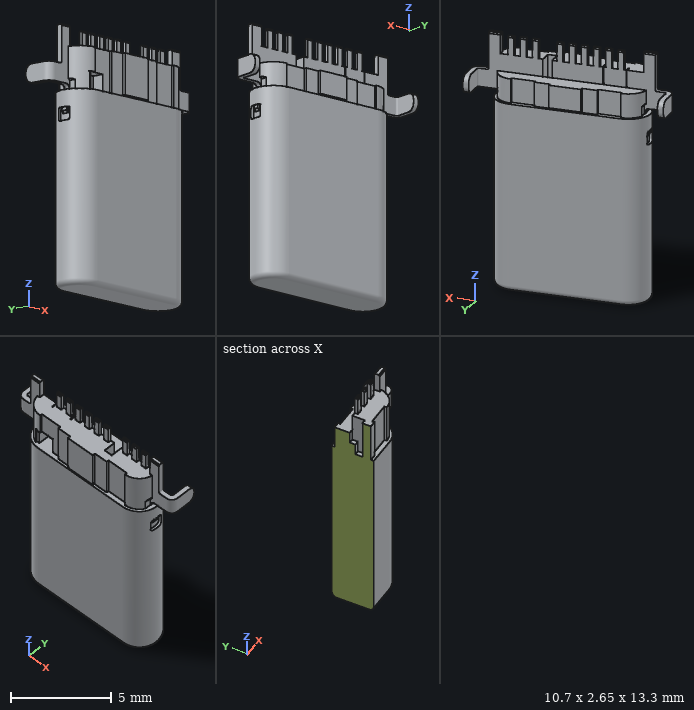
import cadquery as cq

shell_width = 8.29
shell_thickness = 2.41
shell_height = 10.0
mouth_fillet = 0.29
end_center_x = (shell_width - shell_thickness) / 2

housing_top = 12.22
rear_top = 11.29
wall_gap = 0.16
housing_thickness = shell_thickness - 2 * wall_gap
groove_depth = 0.13
groove_inner_x = 1.68
pad_half_width = 0.86
pad_gap = 0.08

sheet = 0.32
leg_inner_x = 3.82
leg_outer_x = 4.44
foot_outer_x = 3.87
leg_top = 13.3
overall_width = 10.7
overall_depth = 2.65
arm_outer_x = overall_width / 2
arm_bottom = 10.31
arm_top = rear_top
arm_reach = overall_depth - shell_thickness / 2
bend_radius = 0.4
arm_end_radius = 0.4
leg_corner_fillet = 0.1
foot_fillet = 0.27

tip_length = 0.08
tip_inset = 0.05

contact_pitch = 0.65
contact_places = [-4, -3, -2, -1, 0, 1, 3, 4, 5]
contact_width = 0.32
contact_thickness = 0.19
contact_top = 13.22

slot_place = 2
slot_width = 0.49
slot_front_y = -0.55
slot_ledge_z = 10.64

slits = [(-2.91, 0.033), (-1.66, 0.07)]

pocket_lip_x = -3.29
pocket_left_x = -3.11
pocket_right_x = -2.2
pocket_back_y = -0.27
pocket_top = 10.96

clearance_x = 3.85
clearance_top = 10.57
clearance_chamfer = 0.08

window_width = 0.73
window_bottom = 8.43
window_top = 9.12
window_corner = 0.12
barb_protrusion = 0.09
barb_height = 0.3
barb_flat = 0.17


def box(x_min, x_max, y_min, y_max, z_min, z_max):
    size = (x_max - x_min, y_max - y_min, z_max - z_min)
    return cq.Workplane("XY").box(*size, centered=False).translate((x_min, y_min, z_min))


def stadium(thickness, z_min, z_max):
    """Upright bar with round ends, centred on the end axes of the shell."""
    return (
        cq.Workplane("XY")
        .workplane(offset=z_min)
        .slot2D(2 * end_center_x + thickness, thickness)
        .extrude(z_max - z_min)
    )


def both_sides(solid):
    return solid.union(solid.mirror("YZ"))


def make_shell():
    return stadium(shell_thickness, 0, shell_height).faces("<Z").edges().fillet(mouth_fillet)


def make_housing():
    front = shell_thickness / 2
    housing = stadium(housing_thickness, shell_height, housing_top)
    pad_bottom = shell_height + pad_gap
    housing = housing.union(
        box(-pad_half_width, pad_half_width, -front, front, pad_bottom, housing_top)
    )
    groove_floor = housing_thickness / 2 - groove_depth
    groove = box(groove_inner_x, end_center_x, groove_floor, front, shell_height, housing_top)
    grooves = both_sides(groove.union(groove.mirror("XZ")))
    rear = box(-shell_width / 2, shell_width / 2, sheet / 2, front, rear_top, housing_top)
    return housing.cut(grooves).cut(rear)


def make_pocket():
    front = -shell_thickness / 2
    lip_back_y = groove_depth - housing_thickness / 2
    deep = box(pocket_left_x, pocket_right_x, front, pocket_back_y, shell_height, pocket_top)
    lip = box(pocket_lip_x, pocket_left_x, front, lip_back_y, shell_height, pocket_top)
    return deep.union(lip)


def make_slot():
    x_min = slot_place * contact_pitch - slot_width / 2
    x_max = x_min + slot_width
    deep = box(x_min, x_max, slot_front_y, -sheet / 2, shell_height, housing_top)
    ledge_opening = box(x_min, x_max, -sheet / 2, sheet / 2, slot_ledge_z, housing_top)
    return deep.union(ledge_opening)


def make_slits():
    cutter = cq.Workplane("XY")
    for center_x, width in slits:
        x_min = center_x - width / 2
        cutter = cutter.add(box(x_min, x_min + width, -sheet / 2, sheet / 2, rear_top, housing_top))
    return cutter.combine()


def make_foot_clearance():
    """Flat cut at each end of the housing, with a sloping roof."""
    outer = shell_width / 2
    roof_low = clearance_top - clearance_chamfer
    profile = (
        cq.Workplane("XZ")
        .moveTo(clearance_x, shell_height)
        .lineTo(clearance_x, roof_low)
        .lineTo(clearance_x + clearance_chamfer, clearance_top)
        .lineTo(outer, clearance_top)
        .lineTo(outer, shell_height)
        .close()
    )
    return both_sides(profile.extrude(shell_thickness / 2, both=True))


def make_tail(x_min, x_max, y_min, y_max, z_min, z_max):
    """Flat upright strip whose front and back faces taper at the tip."""
    shoulder = z_max - tip_length
    profile = (
        cq.Workplane("YZ")
        .workplane(offset=x_min)
        .moveTo(y_min, z_min)
        .lineTo(y_max, z_min)
        .lineTo(y_max, shoulder)
        .lineTo(y_max - tip_inset, z_max)
        .lineTo(y_min + tip_inset, z_max)
        .lineTo(y_min, shoulder)
        .close()
    )
    return profile.extrude(x_max - x_min)


def make_brackets():
    half = sheet / 2
    leg = make_tail(leg_inner_x, leg_outer_x, -half, half, arm_bottom, leg_top)
    foot = box(leg_inner_x, foot_outer_x, -half, half, shell_height, arm_bottom)
    base = box(leg_inner_x, arm_outer_x, -half, half, arm_bottom, arm_top)
    plate = leg.union(base).union(foot)
    leg_corner = cq.selectors.NearestToPointSelector((leg_outer_x, 0, arm_top))
    foot_corner = cq.selectors.NearestToPointSelector((foot_outer_x, 0, arm_bottom))
    plate = plate.edges("|Y").edges(leg_corner).fillet(leg_corner_fillet)
    plate = plate.edges("|Y").edges(foot_corner).fillet(foot_fillet)

    arm = box(arm_outer_x - sheet, arm_outer_x, -half, arm_reach, arm_bottom, arm_top)
    arm = arm.faces(">Y").edges("|X").fillet(arm_end_radius)
    bracket = plate.union(arm)
    inner_bend = cq.selectors.NearestToPointSelector(
        (arm_outer_x - sheet, half, (arm_bottom + arm_top) / 2)
    )
    outer_bend = cq.selectors.NearestToPointSelector(
        (arm_outer_x, -half, (arm_bottom + arm_top) / 2)
    )
    bracket = bracket.edges("|Z").edges(inner_bend).fillet(bend_radius - sheet)
    bracket = bracket.edges("|Z").edges(outer_bend).fillet(bend_radius)
    return both_sides(bracket)


def make_contacts():
    back = sheet / 2
    contacts = cq.Workplane("XY")
    for place in contact_places:
        x_min = place * contact_pitch - contact_width / 2
        x_max = x_min + contact_width
        contacts = contacts.add(
            make_tail(x_min, x_max, back - contact_thickness, back, rear_top, contact_top)
        )
    return contacts.combine()


def make_windows():
    """Shallow recesses down to the housing surface inside the shell."""
    window_height = window_top - window_bottom
    opening = (
        cq.Workplane("XY")
        .box(shell_width / 2, window_width, window_height, centered=(False, True, False))
        .translate((0, 0, window_bottom))
        .edges("|X")
        .fillet(window_corner)
    )
    core = stadium(housing_thickness, window_bottom, window_top)
    return both_sides(opening.cut(core))


def make_barbs():
    """Latch barbs of the legs, lying at the top of each window."""
    inner = leg_inner_x
    root = shell_width / 2 - wall_gap
    tip = root + barb_protrusion
    profile = (
        cq.Workplane("XZ")
        .moveTo(inner, window_top)
        .lineTo(tip, window_top)
        .lineTo(tip, window_top - barb_flat)
        .lineTo(root, window_top - barb_height)
        .lineTo(inner, window_top - barb_height)
        .close()
    )
    return both_sides(profile.extrude(sheet / 2, both=True))


shell = make_shell().cut(make_windows()).union(make_barbs())
housing = make_housing().cut(make_pocket()).cut(make_slot()).cut(make_slits())
housing = housing.cut(make_foot_clearance())
result = shell.union(housing).union(make_brackets()).union(make_contacts())